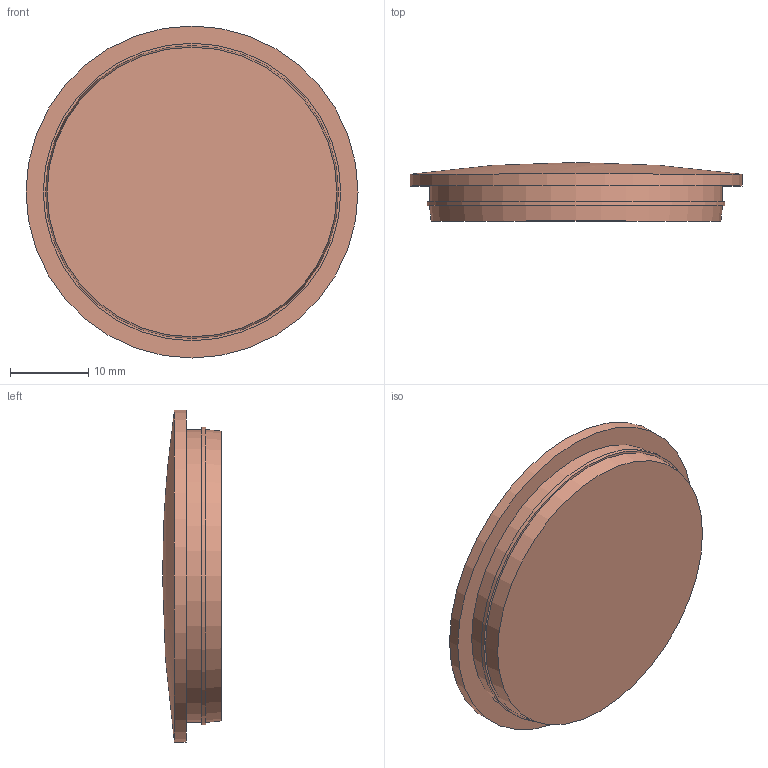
import cadquery as cq
import math


flange_radius = 42.4 / 2
plug_radius = 18.7
rib_radius = 19.0
plug_end_radius = 18.5

dome_height = 1.5
flange_thickness = 1.5
neck_length = 2.0
rib_width = 0.5
taper_length = 2.0

dome_edge_y = flange_thickness
dome_top_y = dome_edge_y + dome_height
rib_back_y = -neck_length
rib_front_y = rib_back_y - rib_width
plug_end_y = rib_front_y - taper_length

sphere_radius = (flange_radius**2 + dome_height**2) / (2 * dome_height)
sphere_centre_y = dome_top_y - sphere_radius
dome_mid_radius = flange_radius / 2
dome_mid_y = sphere_centre_y + math.sqrt(sphere_radius**2 - dome_mid_radius**2)


def cap_profile():
    """Half section of the cap in the YZ plane, given as (Y, radius) points."""
    return (
        cq.Workplane("YZ")
        .moveTo(plug_end_y, 0)
        .lineTo(plug_end_y, plug_end_radius)
        .lineTo(rib_front_y, plug_radius)
        .lineTo(rib_front_y, rib_radius)
        .lineTo(rib_back_y, rib_radius)
        .lineTo(rib_back_y, plug_radius)
        .lineTo(0, plug_radius)
        .lineTo(0, flange_radius)
        .lineTo(dome_edge_y, flange_radius)
        .threePointArc((dome_mid_y, dome_mid_radius), (dome_top_y, 0))
        .close()
    )


result = cap_profile().revolve(360, (0, 0, 0), (1, 0, 0))